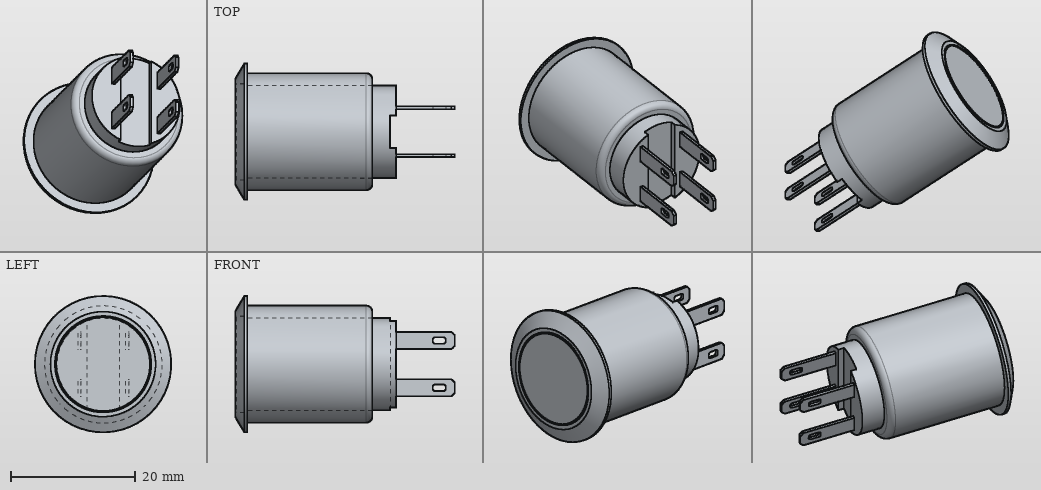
import cadquery as cq

total_length = 35.4
fit_gap = 0.05

flange_diameter = 22.0
bezel_face_diameter = 16.92
bezel_depth = 1.5
flange_depth = 2.0
barrel_diameter = 18.9
barrel_end = 22.12
barrel_edge_radius = 1.05

button_diameter = 15.5
button_chamfer = 0.2
base_diameter = 14.9
button_depth = flange_depth
base_end = 25.95

notch_width = 5.2
notch_depth = 1.0

terminal_width = 2.8
terminal_thickness = 0.5
terminal_spacing_y = 7.7
terminal_spacing_z = 7.6
terminal_chamfer = 0.55

slot_length = 2.1
slot_width = 1.03
slot_corner_radius = 0.4
slot_tip_distance = 1.5


def cylinder_x(diameter, start, end):
    """Solid cylinder on the X axis between two X positions."""
    return cq.Workplane("YZ").workplane(offset=start).circle(diameter / 2).extrude(end - start)


def make_housing():
    """Barrel with a conical bezel flange, bored through in two steps for the core."""
    face_radius = bezel_face_diameter / 2
    flange_radius = flange_diameter / 2
    bezel = (
        cq.Workplane("XY")
        .polyline([
            (0, 0),
            (0, face_radius),
            (bezel_depth, flange_radius),
            (flange_depth, flange_radius),
            (flange_depth, 0),
        ])
        .close()
        .revolve(360, (0, 0, 0), (1, 0, 0))
    )
    barrel = cylinder_x(barrel_diameter, flange_depth, barrel_end)
    barrel = barrel.faces(">X").edges().fillet(barrel_edge_radius)
    button_bore = cylinder_x(button_diameter + fit_gap, 0, button_depth)
    base_bore = cylinder_x(base_diameter, button_depth, barrel_end)
    return bezel.union(barrel).cut(button_bore).cut(base_bore)


def make_terminal(y, z):
    """Flat solder tab with chamfered tip corners and a wire slot."""
    length = total_length - base_end
    slot_center_x = total_length - slot_tip_distance - slot_length / 2
    tab = (
        cq.Workplane("XY")
        .box(length, terminal_thickness, terminal_width)
        .faces(">X").edges("|Y").chamfer(terminal_chamfer)
        .translate((base_end + length / 2, y, z))
    )
    slot = (
        cq.Workplane("XY")
        .box(slot_length, terminal_thickness, slot_width)
        .edges("|Y").fillet(slot_corner_radius)
        .translate((slot_center_x, y, z))
    )
    return tab.cut(slot)


def make_core():
    """Button, notched base and four terminals in one piece."""
    button = cylinder_x(button_diameter, 0, button_depth)
    button = button.faces("<X").edges().chamfer(button_chamfer)
    base = cylinder_x(base_diameter, button_depth, base_end)
    notch = (
        cq.Workplane("XY")
        .box(notch_depth, notch_width, base_diameter)
        .translate((base_end - notch_depth / 2, 0, 0))
    )
    core = button.union(base).cut(notch)
    for side_y in (-1, 1):
        for side_z in (-1, 1):
            y = side_y * terminal_spacing_y / 2
            z = side_z * terminal_spacing_z / 2
            core = core.union(make_terminal(y, z))
    return core


housing = make_housing()
core = make_core()
result = cq.Compound.makeCompound([housing.val(), core.val()])